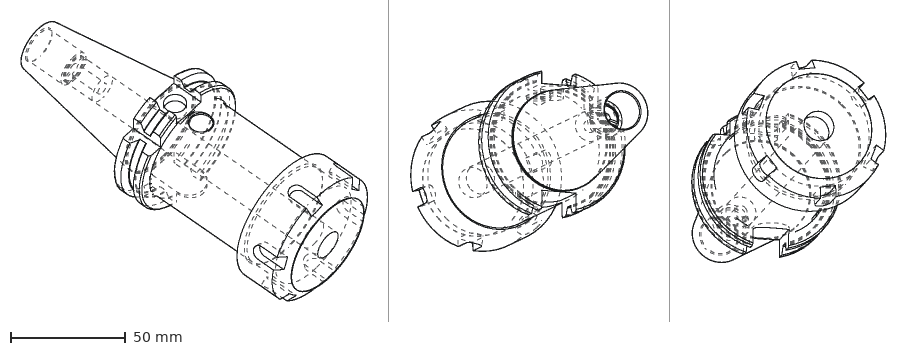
import cadquery as cq
import math


gauge_radius = 22.2
taper_length = 68.4
taper_slope = 3.5 / 24
taper_end_fillet = 1.2
neck_start_x = 0.8
relief_start_x = 1.7
relief_end_x = 2.4
relief_depth = 0.2

flange_radius = 31.75
flange_front_x = 3.2
flange_width = 15.8
flange_edge = 0.8
groove_center_x = 11.1
groove_floor_width = 3.7
groove_floor_radius = 28.1
groove_wall_radius = 28.6
groove_wall_angle = 30.0

slot_width = 16.2
top_slot_floor = 25.1
bottom_slot_floor = 22.5
notch_offset = 18.5

chip_diameter = 10.1
chip_depth = 4.5
dimple_x = 26.1
dimple_mouth_diameter = 12.0
dimple_diameter = 10.6
dimple_depth = 1.7
dimple_point_angle = 118.0

body_radius = 25.0
flange_fillet = 0.8
pilot_mouth_radius = 8.8
pilot_radius = 8.3
pilot_depth = 20.2
bore_radius = 6.7

screw_length = 16.8
screw_chamfer = 0.8
screw_hole_diameter = 5.5
screw_slot_width = 1.9
screw_slot_depth = 2.5
screw_slot_angle = 16.0

nut_radius = 31.5
nut_front_x = 100.0
nut_length = 26.0
nut_rear_fillet = 1.3
nut_land = 0.3
nut_face_radius = 23.9
nut_cone_slope = 30.0
nut_lip = 8.5
nut_bore_chamfer = 0.8
nut_slot_count = 6
nut_slot_width = 7.0
nut_slot_length = 17.2
nut_slot_floor = 27.0
nut_slot_start_angle = 20.0

taper_start_x = -taper_length
taper_end_radius = gauge_radius - taper_length * taper_slope
flange_rear_x = flange_front_x + flange_width
groove_slope_run = (flange_radius - groove_wall_radius) * math.tan(math.radians(groove_wall_angle))
nose_end_x = nut_front_x - nut_lip
nut_rear_x = nut_front_x - nut_length
pilot_end_x = taper_start_x + pilot_depth
cut_reach = 2 * flange_radius


def revolve_about_x(outline):
    """Turn a list of (x, radius) points into a solid of revolution about the X axis."""
    return cq.Workplane("XY").polyline(outline).close().revolve(360, (0, 0, 0), (1, 0, 0))


def cylinder_x(radius, x_start, x_end):
    return cq.Workplane("YZ", origin=(x_start, 0, 0)).circle(radius).extrude(x_end - x_start)


def block(x_range, y_range, z_range):
    """Box given by its limits along each axis."""
    (x0, x1), (y0, y1), (z0, z1) = x_range, y_range, z_range
    return cq.Workplane("XY").box(x1 - x0, y1 - y0, z1 - z0, centered=False).translate((x0, y0, z0))


def holder_blank():
    neck_radius = gauge_radius + neck_start_x * taper_slope
    relief_radius = neck_radius - relief_depth
    blank = revolve_about_x([
        (taper_start_x, 0),
        (taper_start_x, taper_end_radius),
        (neck_start_x, neck_radius),
        (relief_start_x, neck_radius),
        (relief_start_x, relief_radius),
        (relief_end_x, relief_radius),
        (relief_end_x, neck_radius),
        (flange_front_x, neck_radius),
        (flange_front_x, body_radius),
        (nose_end_x, body_radius),
        (nose_end_x, 0),
    ])
    return blank.faces("<X").edges().fillet(taper_end_fillet)


def flange():
    disc = cylinder_x(flange_radius, flange_front_x, flange_rear_x)
    disc = disc.faces("<X").edges().fillet(flange_edge)
    return disc.faces(">X").edges().chamfer(flange_edge)


def gripper_groove():
    half_floor = groove_floor_width / 2
    half_mouth = half_floor + groove_slope_run
    return revolve_about_x([
        (groove_center_x - half_floor, groove_floor_radius),
        (groove_center_x - half_floor, groove_wall_radius),
        (groove_center_x - half_mouth, flange_radius),
        (groove_center_x + half_mouth, flange_radius),
        (groove_center_x + half_floor, groove_wall_radius),
        (groove_center_x + half_floor, groove_floor_radius),
    ])


def top_drive_slot():
    half = slot_width / 2
    return block((flange_front_x, flange_rear_x + flange_fillet), (-half, half), (top_slot_floor, cut_reach))


def bottom_drive_slot():
    """Deeper slot that runs past the flange into the body with a round end."""
    half = slot_width / 2
    straight = block((flange_front_x, flange_rear_x), (-half, half), (-cut_reach, -bottom_slot_floor))
    round_end = (
        cq.Workplane("XY", origin=(flange_rear_x, 0, -bottom_slot_floor))
        .circle(half)
        .extrude(-cut_reach)
    )
    return straight.union(round_end)


def orientation_notch():
    return block(
        (flange_front_x, flange_rear_x + flange_fillet),
        (-cut_reach, -notch_offset),
        (notch_offset, cut_reach),
    )


def chip_pocket():
    return (
        cq.Workplane("XY", origin=(groove_center_x, 0, top_slot_floor))
        .circle(chip_diameter / 2)
        .extrude(-chip_depth)
    )


def dimple():
    """Drilled pocket in the top of the body with a chamfered mouth and a cone point."""
    radius = dimple_diameter / 2
    mouth_radius = dimple_mouth_diameter / 2
    mouth_chamfer = mouth_radius - radius
    shoulder_z = body_radius - dimple_depth
    point_z = shoulder_z - radius / math.tan(math.radians(dimple_point_angle / 2))
    return (
        cq.Workplane("XZ")
        .polyline([
            (0, point_z),
            (radius, shoulder_z),
            (radius, body_radius - mouth_chamfer),
            (mouth_radius, body_radius),
            (0, body_radius),
        ])
        .close()
        .revolve(360, (0, 0, 0), (0, 1, 0))
        .translate((dimple_x, 0, 0))
    )


def holder_bore():
    """Chamfered pilot bore followed by a straight bore through the whole holder."""
    return revolve_about_x([
        (taper_start_x, 0),
        (taper_start_x, pilot_mouth_radius),
        (taper_start_x + pilot_mouth_radius - pilot_radius, pilot_radius),
        (pilot_end_x, pilot_radius),
        (pilot_end_x, bore_radius),
        (nose_end_x, bore_radius),
        (nose_end_x, 0),
    ])


def make_holder():
    body = holder_blank().union(flange())
    flange_root = cq.selectors.BoxSelector(
        (flange_rear_x - flange_fillet, -flange_radius, -flange_radius),
        (flange_rear_x + flange_fillet, flange_radius, flange_radius),
    )
    rear_circles = body.edges(flange_root).edges("%CIRCLE")
    body = rear_circles.edges(cq.selectors.RadiusNthSelector(0)).fillet(flange_fillet)
    cuts = [
        gripper_groove(),
        top_drive_slot(),
        bottom_drive_slot(),
        orientation_notch(),
        chip_pocket(),
        dimple(),
        holder_bore(),
    ]
    for cut in cuts:
        body = body.cut(cut)
    return body


def make_set_screw():
    screw = cylinder_x(bore_radius, pilot_end_x, pilot_end_x + screw_length)
    screw = screw.faces("<X").edges().chamfer(screw_chamfer)
    screw = screw.cut(cylinder_x(screw_hole_diameter / 2, pilot_end_x, pilot_end_x + screw_length))
    half = screw_slot_width / 2
    driver_slot = block(
        (pilot_end_x, pilot_end_x + screw_slot_depth),
        (-bore_radius, bore_radius),
        (-half, half),
    ).rotate((0, 0, 0), (1, 0, 0), screw_slot_angle)
    return screw.cut(driver_slot)


def nut_spanner_slot(angle):
    """Slot open to the front cone, round at its rear end; angle turns from -Y toward +Z."""
    half = nut_slot_width / 2
    slot_start_x = nut_front_x - nut_slot_length + half
    straight = block((slot_start_x, nut_front_x), (-cut_reach, -nut_slot_floor), (-half, half))
    round_end = (
        cq.Workplane("XZ", origin=(slot_start_x, -nut_slot_floor, 0))
        .circle(half)
        .extrude(cut_reach)
    )
    return straight.union(round_end).rotate((0, 0, 0), (1, 0, 0), -angle)


def make_nut():
    cone_length = (nut_radius - nut_face_radius) * math.tan(math.radians(nut_cone_slope))
    land_x = nut_front_x - nut_land
    nut = revolve_about_x([
        (nut_rear_x, body_radius + nut_bore_chamfer),
        (nut_rear_x, nut_radius),
        (land_x - cone_length, nut_radius),
        (land_x, nut_face_radius),
        (nut_front_x, nut_face_radius),
        (nut_front_x, bore_radius),
        (nose_end_x, bore_radius),
        (nose_end_x, body_radius),
        (nut_rear_x + nut_bore_chamfer, body_radius),
    ])
    nut = nut.faces("<X").edges(cq.selectors.RadiusNthSelector(-1)).fillet(nut_rear_fillet)
    for index in range(nut_slot_count):
        nut = nut.cut(nut_spanner_slot(nut_slot_start_angle + index * 360 / nut_slot_count))
    return nut


holder = make_holder()
set_screw = make_set_screw()
nut = make_nut()

result = cq.Compound.makeCompound([holder.solids().val(), set_screw.solids().val(), nut.solids().val()])